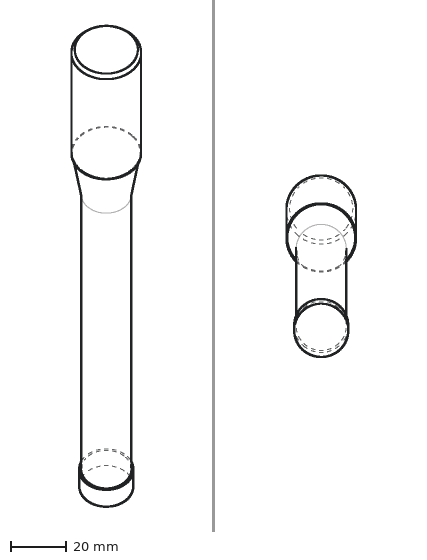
import cadquery as cq

total_length = 245.8

handle_diameter = 25.3
handle_length = 57.3
top_chamfer_height = 1.7
top_chamfer_width = 1.2
neck_top_diameter = 24.5
neck_length = 22.9

shank_diameter = 18.2
tip_diameter = 19.7
point_height = 3.7
collar_height = 9.3

handle_bottom = total_length - handle_length
neck_bottom = handle_bottom - neck_length
tip_top = point_height + collar_height


def revolve_profile(points):
    """Turn a closed (radius, height) outline around the Z axis."""
    outline = cq.Workplane("XZ").polyline(points).close()
    return outline.revolve(360, (0, 0), (0, 1))


def make_shaft():
    """Chamfered handle, tapered neck and straight shank in one piece."""
    handle_radius = handle_diameter / 2
    shank_radius = shank_diameter / 2
    return revolve_profile([
        (0, tip_top),
        (shank_radius, tip_top),
        (shank_radius, neck_bottom),
        (neck_top_diameter / 2, handle_bottom),
        (handle_radius, handle_bottom),
        (handle_radius, total_length - top_chamfer_height),
        (handle_radius - top_chamfer_width, total_length),
        (0, total_length),
    ])


def make_tip():
    """Short collar, wider than the shank, ending in a conical point."""
    tip_radius = tip_diameter / 2
    return revolve_profile([
        (0, 0),
        (tip_radius, point_height),
        (tip_radius, tip_top),
        (0, tip_top),
    ])


shaft = make_shaft()
tip = make_tip()

result = cq.Compound.makeCompound([shaft.val(), tip.val()])